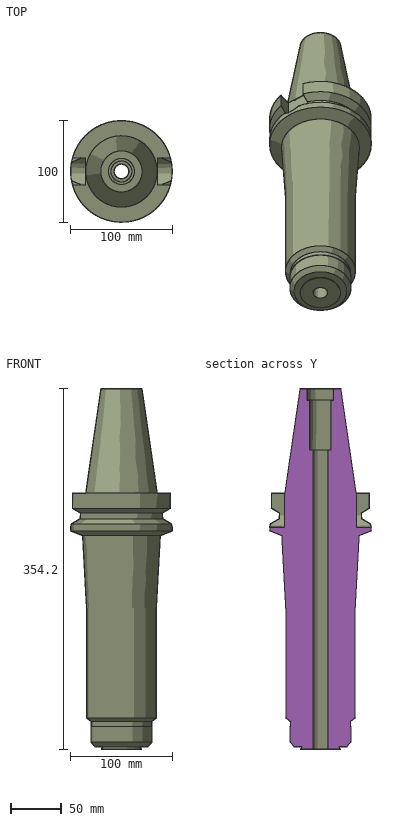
import cadquery as cq

total_length = 354.2
taper_length = 101.5
gauge_radius = 35.0
shank_end_radius = 20.2
gauge_z = total_length - taper_length

flange_radius = 50.0
flange_top_z = 251.5
groove_radius = 42.5
upper_rim_bottom_z = 236.5
groove_top_z = 232.0
groove_bottom_z = 226.5
lower_rim_top_z = 221.5
flange_bottom_z = 214.3

collar_radius = 38.3
collar_top_z = 209.7
collar_bottom_z = 138.5
body_radius = 34.5
body_bottom_z = 30.8

neck_radius = 29.8
neck_top_z = 27.3
nut_radius = 30.0
nut_top_z = 22.3
nut_chamfer_z = 7.0
nut_end_radius = 26.0
lip_top_z = 2.5
lip_radius = 20.0
lip_root_radius = 18.5

through_radius = 7.0
thread_radius = 10.3
thread_depth = 60.2
counterbore_radius = 12.8
counterbore_depth = 11.5

slot_width = 26.5
slot_floor_x = 35.5
slot_bottom_z = 218.2
slot_overcut = 3.5


def make_body():
    """Revolve the outer outline, listed as (radius, height) from nose to shank."""
    outline = [
        (0, 0),
        (lip_radius, 0),
        (lip_root_radius, lip_top_z),
        (nut_end_radius, lip_top_z),
        (nut_radius, nut_chamfer_z),
        (nut_radius, nut_top_z),
        (neck_radius, nut_top_z),
        (neck_radius, neck_top_z),
        (body_radius, body_bottom_z),
        (body_radius, collar_bottom_z),
        (collar_radius, collar_top_z),
        (flange_radius, flange_bottom_z),
        (flange_radius, lower_rim_top_z),
        (groove_radius, groove_bottom_z),
        (groove_radius, groove_top_z),
        (flange_radius, upper_rim_bottom_z),
        (flange_radius, flange_top_z),
        (gauge_radius, flange_top_z),
        (gauge_radius, gauge_z),
        (shank_end_radius, total_length),
        (0, total_length),
    ]
    return cq.Workplane("XZ").polyline(outline).close().revolve(360, (0, 0), (0, 1))


def bore_from_top(radius, depth):
    """Cylinder reaching down the axis from the shank end."""
    return cq.Workplane("XY").workplane(offset=total_length - depth).circle(radius).extrude(depth)


def drive_slot(side):
    """Round-bottomed slot cutter open to the flange top; side is +1 or -1 along X."""
    half_width = slot_width / 2
    arc_center_z = slot_bottom_z + half_width
    radial_reach = flange_radius - slot_floor_x + slot_overcut
    return (
        cq.Workplane("YZ", origin=(side * slot_floor_x, 0, 0))
        .moveTo(-half_width, gauge_z)
        .lineTo(-half_width, arc_center_z)
        .threePointArc((0, slot_bottom_z), (half_width, arc_center_z))
        .lineTo(half_width, gauge_z)
        .close()
        .extrude(side * radial_reach)
    )


result = make_body()

for radius, depth in [
    (through_radius, total_length),
    (thread_radius, thread_depth),
    (counterbore_radius, counterbore_depth),
]:
    result = result.cut(bore_from_top(radius, depth))

for side in (1, -1):
    result = result.cut(drive_slot(side))